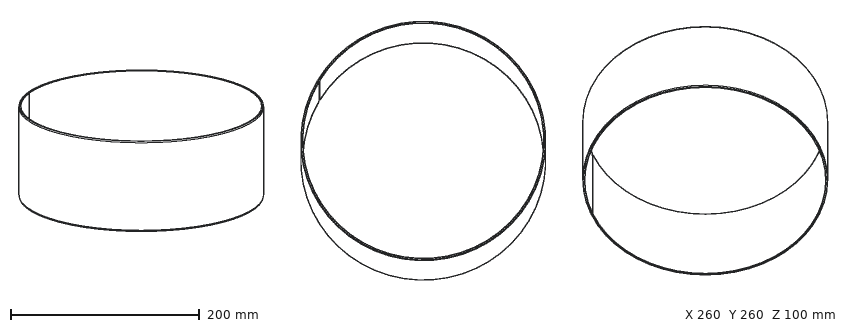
import cadquery as cq

outer_diameter = 260.0
height = 100.0
wall = 2.3
bevel_height = 1.5
bevel_depth = 0.5
inner_chamfer = 0.5
slit_width = 2.0

outer_radius = outer_diameter / 2
inner_radius = outer_radius - wall
bevel_radius = outer_radius - bevel_depth
chamfer_radius = inner_radius + inner_chamfer

wall_section = [
    (chamfer_radius, 0),
    (bevel_radius, 0),
    (outer_radius, bevel_height),
    (outer_radius, height - bevel_height),
    (bevel_radius, height),
    (chamfer_radius, height),
    (inner_radius, height - inner_chamfer),
    (inner_radius, inner_chamfer),
]
ring = cq.Workplane("XZ").polyline(wall_section).close().revolve(360, (0, 0, 0), (0, 1, 0))

slit = cq.Workplane("XY").box(2 * wall, slit_width, height, centered=(True, False, False))
slit = slit.translate((-outer_radius + wall / 2, 0, 0))

result = ring.cut(slit)